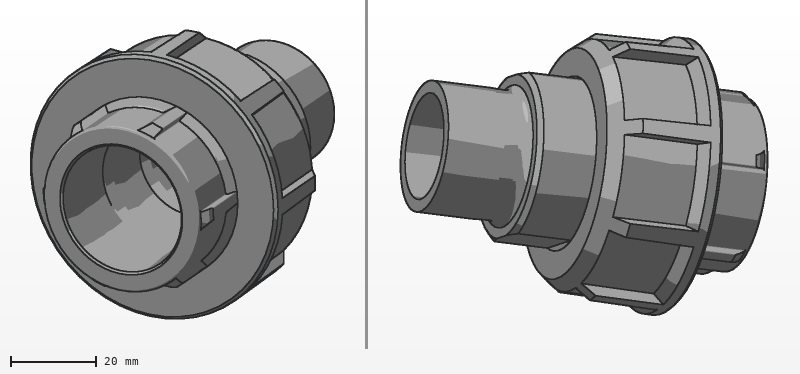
import cadquery as cq
import math

length = 78.0

nut_front = 15.9
nut_back = 43.0
nut_diameter = 65.0
nut_radius = nut_diameter / 2
rim_chamfer = 0.8
shoulder_y = 35.95
shoulder_radius = 32.2
back_radius = 27.15
pocket_front = 21.5
pocket_back = 39.55
floor_front_radius = 30.0
grip_count = 8
grip_front_width = 4.2
grip_back_width = 3.4
nut_lip = 3.9
cone_slope = (shoulder_radius - back_radius) / (nut_back - shoulder_y)
floor_back_radius = back_radius + cone_slope * (nut_back - pocket_back)

socket_radius = 20.4
socket_round = 0.7
thread_radius = 22.3
neck_front = 13.8
neck_blend = 0.55
neck_cone_radius = 20.75
socket_bore_radius = 15.5
socket_bore_chamfer = 0.55
socket_bore_end_radius = 15.2
socket_depth = 20.0
stop_radius = 15.05
stop_length = 0.5
throat_radius = 14.35
throat_depth = 23.4

rib_base_radius = 19.9
rib_nose_start = 3.8
rib_nose_end = 2.65
rib_nose_radius = 21.8
rib_tip = 1.0
rib_top_round = 0.3
rib_root_fillet = 0.3
root_tolerance = 0.1
rib_axis = 127.0
middle_rib_angles = (-6.1, -3.1, 3.1, 6.1)
side_rib_angles = (-59.7, -61.0, -53.3, -46.0)

joint_y = 35.1
joint_bore_radius = 13.4
bore_radius = 12.5
bore_taper_length = 3.1
flange_radius = 20.5
flange_end = 57.4
flange_chamfer = 1.25
flat_distance = 19.0
flat_tilt = 10.5
spigot_radius = 15.45
neck_radius = 15.3
neck_root_radius = 16.8
neck_root_arc = 2.35
neck_root_end = 59.6
neck_taper_start = 60.5
neck_taper_end = 63.95

full_turn = 360.0


def revolve(profile):
    """Turn a closed (radius, Y) profile about the Y axis."""
    return profile.close().revolve(full_turn, (0, 0, 0), (0, 1, 0))


def turn(body, angle):
    """Rotate a body about the Y axis from +X toward +Z."""
    return body.rotate((0, 0, 0), (0, 1, 0), -angle)


def nut_outside():
    """Nut with its grips still joined into one smooth surface."""
    return revolve(
        cq.Workplane("XY")
        .moveTo(0, nut_front)
        .lineTo(nut_radius - rim_chamfer, nut_front)
        .lineTo(nut_radius, nut_front + rim_chamfer)
        .lineTo(shoulder_radius, shoulder_y)
        .lineTo(back_radius, nut_back)
        .lineTo(0, nut_back)
    )


def pocket_ring():
    """Ring outside the pocket floors, with its front wall sloped at 45 degrees."""
    clear_radius = nut_radius + rim_chamfer
    return revolve(
        cq.Workplane("XY")
        .moveTo(clear_radius, pocket_front - (clear_radius - floor_front_radius))
        .lineTo(floor_front_radius, pocket_front)
        .lineTo(floor_back_radius, pocket_back)
        .lineTo(floor_back_radius, nut_back)
        .lineTo(clear_radius, nut_back)
    )


def nut_grip():
    """Tapered bar pointing along +Z, narrower toward the back."""
    return (
        cq.Workplane("XY")
        .moveTo(-grip_front_width / 2, nut_front)
        .lineTo(grip_front_width / 2, nut_front)
        .lineTo(grip_back_width / 2, nut_back)
        .lineTo(-grip_back_width / 2, nut_back)
        .close()
        .extrude(2 * nut_radius)
    )


def nut_bore():
    """Bore for the threaded section and the collar, stepping down to the lip at the back."""
    lip_front = nut_back - nut_lip
    return revolve(
        cq.Workplane("XY")
        .moveTo(0, nut_front)
        .lineTo(thread_radius, nut_front)
        .lineTo(thread_radius, lip_front)
        .lineTo(flange_radius, lip_front)
        .lineTo(flange_radius, nut_back)
        .lineTo(0, nut_back)
    )


def make_nut():
    pockets = pocket_ring()
    for index in range(grip_count):
        pockets = pockets.cut(turn(nut_grip(), index * full_turn / grip_count))
    return nut_outside().cut(pockets).cut(nut_bore())


def socket_outside():
    """Socket, flared neck and the section inside the nut."""
    return revolve(
        cq.Workplane("XY")
        .lineTo(socket_radius - socket_round, 0)
        .radiusArc((socket_radius, socket_round), -socket_round)
        .lineTo(socket_radius, neck_front)
        .lineTo(neck_cone_radius, neck_front + neck_blend)
        .lineTo(thread_radius, nut_front)
        .lineTo(thread_radius, joint_y)
        .lineTo(0, joint_y)
    )


def rib_envelope():
    """Outer surface of the ribs, with two slopes at their front ends."""
    return revolve(
        cq.Workplane("XY")
        .moveTo(0, rib_tip)
        .lineTo(socket_radius, rib_tip)
        .lineTo(rib_nose_radius, rib_nose_end)
        .lineTo(thread_radius, rib_nose_start)
        .lineTo(thread_radius, nut_front)
        .lineTo(0, nut_front)
    )


def axis_distance(edge):
    """Distance from the Y axis to the middle of an edge."""
    middle = edge.Center()
    return math.hypot(middle.x, middle.z)


def rib(corner_angles):
    """Bar with two base corners and two rounded top corners, trimmed to the rib envelope."""
    radii = (rib_base_radius, thread_radius, thread_radius, rib_base_radius)
    corners = []
    for radius, angle in zip(radii, corner_angles):
        direction = math.radians(rib_axis + angle)
        corners.append((radius * math.cos(direction), radius * math.sin(direction)))
    bar = cq.Workplane("XZ").polyline(corners).close().extrude(-nut_front)
    middle_radius = (rib_base_radius + thread_radius) / 2
    top_edges = [edge for edge in bar.edges("|Y").vals() if axis_distance(edge) > middle_radius]
    return bar.newObject(top_edges).fillet(rib_top_round).intersect(rib_envelope())


def rib_root_edges(body):
    """Straight edges where the rib flanks meet the socket, without the seam of the cylinder."""
    return [
        edge
        for edge in body.edges("|Y").vals()
        if abs(axis_distance(edge) - socket_radius) < root_tolerance
        and rib_tip - root_tolerance < edge.BoundingBox().ymin
        and edge.BoundingBox().ymax < nut_front
    ]


def socket_bore():
    """Tapered pipe socket, its stop and the throat behind it."""
    return revolve(
        cq.Workplane("XY")
        .lineTo(socket_bore_radius + socket_bore_chamfer, 0)
        .lineTo(socket_bore_radius, socket_bore_chamfer)
        .lineTo(socket_bore_end_radius, socket_depth)
        .lineTo(stop_radius, socket_depth + stop_length)
        .lineTo(throat_radius, throat_depth)
        .lineTo(joint_bore_radius, joint_y)
        .lineTo(0, joint_y)
    )


def make_socket_end():
    body = socket_outside()
    mirrored_angles = tuple(-angle for angle in side_rib_angles)
    for corner_angles in (middle_rib_angles, side_rib_angles, mirrored_angles):
        shaped_rib = rib(corner_angles)
        for angle in (0, full_turn / 2):
            body = body.union(turn(shaped_rib, angle))
    body = body.newObject(rib_root_edges(body)).fillet(rib_root_fillet)
    return body.cut(socket_bore())


def spigot_outside():
    """Collar inside the nut, flange, blended neck and pipe spigot."""
    lip_front = nut_back - nut_lip
    return revolve(
        cq.Workplane("XY")
        .moveTo(0, joint_y)
        .lineTo(thread_radius, joint_y)
        .lineTo(thread_radius, lip_front)
        .lineTo(flange_radius, lip_front)
        .lineTo(flange_radius, flange_end - flange_chamfer)
        .lineTo(flange_radius - flange_chamfer, flange_end)
        .lineTo(neck_root_radius, flange_end)
        .radiusArc((neck_radius, neck_root_end), neck_root_arc)
        .lineTo(neck_radius, neck_taper_start)
        .lineTo(spigot_radius, neck_taper_end)
        .lineTo(spigot_radius, length)
        .lineTo(0, length)
    )


def spanner_flat():
    """Block that trims one flat on the +Z side of the flange behind the nut."""
    return (
        cq.Workplane("XY")
        .box(2 * flange_radius, flange_end - nut_back, flange_radius, centered=(True, False, False))
        .translate((0, nut_back, flat_distance))
    )


def spigot_bore():
    """Through bore with a tapered mouth at the joint."""
    return revolve(
        cq.Workplane("XY")
        .moveTo(0, joint_y)
        .lineTo(joint_bore_radius, joint_y)
        .lineTo(bore_radius, joint_y + bore_taper_length)
        .lineTo(bore_radius, length)
        .lineTo(0, length)
    )


def make_spigot_end():
    body = spigot_outside()
    for angle in (flat_tilt, flat_tilt + full_turn / 2):
        body = body.cut(turn(spanner_flat(), angle))
    return body.cut(spigot_bore())


nut = make_nut()
socket_end = make_socket_end()
spigot_end = make_spigot_end()

result = cq.Compound.makeCompound(
    [
        nut.solids().val(),
        socket_end.solids().val(),
        spigot_end.solids().val(),
    ]
)